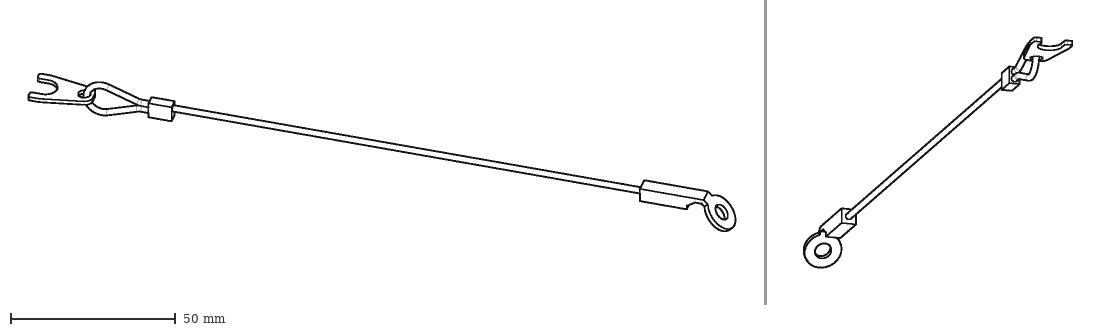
import cadquery as cq
import math

rope_diameter = 2.0
rope_radius = rope_diameter / 2
loop_outer_radius = 6.0
loop_radius = loop_outer_radius - rope_radius
loop_left = 15.7
loop_center_x = loop_left + loop_outer_radius
strand_gap = 0.2
strand_height = (rope_diameter + strand_gap) / 2
strands_meet_x = 33.5
strand_bend_setback = 0.7

ferrule_start = 36.8
ferrule_length = 7.3
ferrule_width = 3.3
ferrule_height = 5.3

fork_length = 19.0
fork_width = 12.5
fork_end_width = 6.7
fork_thickness = 1.3
fork_end_rounding = 2.7
prong_length = 3.8
prong_tip_rounding = 0.7
slot_width = 7.3
fork_hole_x = 16.07
fork_hole_diameter = 3.8

terminal_start = 192.5
block_end = 207.3
bend_x = 212.5
block_width = 4.7
block_height = 4.7
block_top = strand_height + block_height / 2
bevel_length = 2.7
bevel_height = 1.8
tab_thickness = 1.5
bend_angle = 45.5
overall_length = 221.7
ring_diameter = 11.5
ring_hole_diameter = 5.0


def make_fork():
    half_width = fork_width / 2
    half_end = fork_end_width / 2
    plate = (
        cq.Workplane("XY")
        .workplane(offset=-fork_thickness / 2)
        .moveTo(0, -half_width)
        .lineTo(prong_length, -half_width)
        .lineTo(fork_length, -half_end)
        .lineTo(fork_length, half_end)
        .lineTo(prong_length, half_width)
        .lineTo(0, half_width)
        .close()
        .extrude(fork_thickness)
        .edges("|Z and >X")
        .fillet(fork_end_rounding)
    )
    slot_radius = slot_width / 2
    slot = (
        cq.Workplane("XY")
        .workplane(offset=-fork_thickness / 2)
        .moveTo(0, -slot_radius)
        .lineTo(prong_length, -slot_radius)
        .threePointArc((prong_length + slot_radius, 0), (prong_length, slot_radius))
        .lineTo(0, slot_radius)
        .close()
        .extrude(fork_thickness)
    )
    hole = (
        cq.Workplane("XY")
        .workplane(offset=-fork_thickness / 2)
        .center(fork_hole_x, 0)
        .circle(fork_hole_diameter / 2)
        .extrude(fork_thickness)
    )
    return plate.cut(slot).edges("|Z and <X").fillet(prong_tip_rounding).cut(hole)


def make_rope_path():
    """Centreline from inside the ferrule, round the loop and out to the terminal."""
    reach = strands_meet_x - loop_center_x
    distance = math.hypot(reach, strand_height)
    tangent_angle = math.atan2(strand_height, reach) + math.acos(loop_radius / distance)
    tangent_x = loop_center_x + loop_radius * math.cos(tangent_angle)
    tangent_z = loop_radius * math.sin(tangent_angle)
    slope_angle = math.pi / 2 - tangent_angle
    bend_start_x = strands_meet_x - strand_bend_setback * math.cos(slope_angle)
    bend_start_z = strand_height + strand_bend_setback * math.sin(slope_angle)
    bend_end_x = strands_meet_x + strand_bend_setback
    return (
        cq.Workplane("XZ")
        .moveTo(ferrule_start + ferrule_length / 2, -strand_height)
        .lineTo(bend_end_x, -strand_height)
        .tangentArcPoint((bend_start_x, -bend_start_z), relative=False)
        .lineTo(tangent_x, -tangent_z)
        .threePointArc((loop_center_x - loop_radius, 0), (tangent_x, tangent_z))
        .lineTo(bend_start_x, bend_start_z)
        .tangentArcPoint((bend_end_x, strand_height), relative=False)
        .lineTo(terminal_start, strand_height)
    )


def make_rope():
    strand = (
        cq.Workplane("YZ", origin=(ferrule_start + ferrule_length / 2, 0, -strand_height))
        .circle(rope_radius)
        .sweep(make_rope_path())
    )
    ferrule = cq.Workplane("XY").box(ferrule_length, ferrule_width, ferrule_height)
    ferrule = ferrule.translate((ferrule_start + ferrule_length / 2, 0, 0))
    return strand.union(ferrule)


def make_terminal():
    angle = math.radians(bend_angle)
    block_bottom = block_top - block_height
    tab_bottom = block_top - tab_thickness
    bend_setback = tab_thickness * math.tan(angle / 2)
    inner_bend_x = bend_x - bend_setback
    body = (
        cq.Workplane("XZ")
        .moveTo(terminal_start, block_bottom)
        .lineTo(block_end, block_bottom)
        .lineTo(block_end, tab_bottom - bevel_height)
        .lineTo(block_end + bevel_length, tab_bottom)
        .lineTo(inner_bend_x, tab_bottom)
        .lineTo(bend_x, block_top)
        .lineTo(terminal_start, block_top)
        .close()
        .extrude(block_width / 2, both=True)
    )

    slope = cq.Plane(
        origin=(bend_x, 0, block_top),
        xDir=(math.cos(angle), 0, -math.sin(angle)),
        normal=(math.sin(angle), 0, math.cos(angle)),
    )
    slope_length = (overall_length - bend_x) / math.cos(angle)
    ring_center = slope_length - ring_diameter / 2
    neck = (
        cq.Workplane(slope.rotated((90, 0, 0)))
        .polyline([(0, 0), (ring_center, 0), (ring_center, -tab_thickness), (bend_setback, -tab_thickness)])
        .close()
        .extrude(block_width / 2, both=True)
    )
    ring = cq.Workplane(slope).center(ring_center, 0).circle(ring_diameter / 2).extrude(-tab_thickness)
    hole = cq.Workplane(slope).center(ring_center, 0).circle(ring_hole_diameter / 2).extrude(-tab_thickness)
    return body.union(neck).union(ring).cut(hole)


fork = make_fork()
rope = make_rope()
terminal = make_terminal()

result = cq.Compound.makeCompound([fork.solids().val(), rope.solids().val(), terminal.solids().val()])